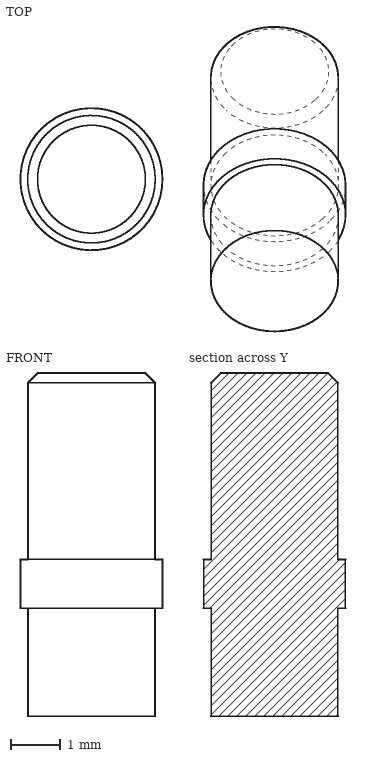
import cadquery as cq

pin_diameter = 2.6
pin_length = 7.0
collar_diameter = 2.9
collar_height = 1.0
collar_base = 2.2
tip_chamfer = 0.2


def make_pin():
    """Plain cylindrical pin along Z, chamfered at its top end."""
    pin = cq.Workplane("XY").circle(pin_diameter / 2).extrude(pin_length)
    return pin.faces(">Z").chamfer(tip_chamfer)


def make_collar():
    """Solid disc that forms the raised collar around the pin."""
    return (
        cq.Workplane("XY")
        .workplane(offset=collar_base)
        .circle(collar_diameter / 2)
        .extrude(collar_height)
    )


result = make_pin().union(make_collar())